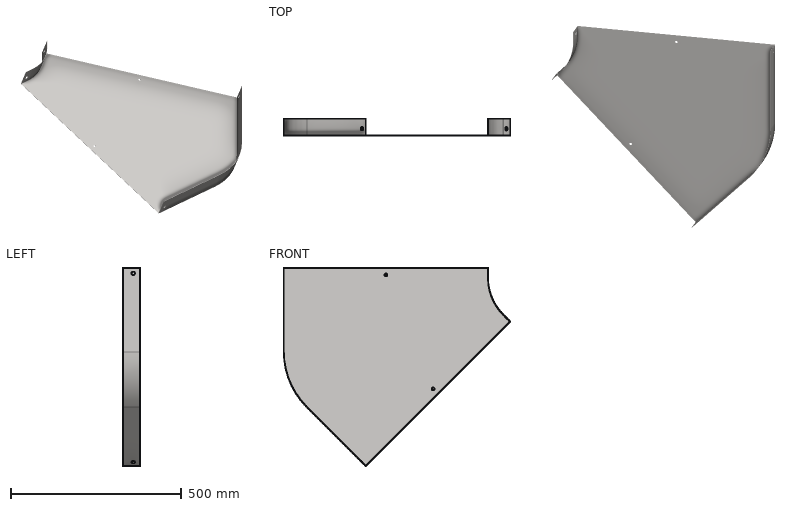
import cadquery as cq
import math

bend_angle = math.radians(45)
width = 600.0
wall_height = 50.0
sheet = 0.8
inner_straight = 30.0
inner_radius = 150.0
outer_radius = 230.0

plate_hole_diameter = 7.0
plate_hole_inset = 20.5
wall_hole_diameter = 9.0
wall_hole_inset = 16.0
wall_hole_height = 20.0
cutter_length = 13.0

half_tangent = math.tan(bend_angle / 2)
inner_tangent = inner_straight + inner_radius * half_tangent
outer_tangent = inner_tangent + width * half_tangent
outer_straight = outer_tangent - outer_radius * half_tangent

start_along = (0, -1)
start_across = (1, 0)
end_along = (math.sin(bend_angle), -math.cos(bend_angle))
end_across = (math.cos(bend_angle), math.sin(bend_angle))


def offset(point, direction, distance):
    return (point[0] + direction[0] * distance, point[1] + direction[1] * distance)


def side_points(x, radius, straight):
    """Start, arc start, arc middle, arc end and end of one side of the elbow."""
    start = (x, 0)
    arc_start = offset(start, start_along, straight)
    center = offset(arc_start, start_across, radius)
    middle = offset(center, (-math.cos(bend_angle / 2), -math.sin(bend_angle / 2)), radius)
    arc_end = offset(center, end_across, -radius)
    end = offset(arc_end, end_along, straight)
    return start, arc_start, middle, arc_end, end


def strip(left, right, depth):
    """Solid between two elbow sides, extruded from Y = 0 towards +Y."""
    outline = cq.Workplane("XZ").moveTo(*left[0]).lineTo(*left[1])
    outline = outline.threePointArc(left[2], left[3]).lineTo(*left[4])
    outline = outline.lineTo(*right[4]).lineTo(*right[3])
    outline = outline.threePointArc(right[2], right[1]).lineTo(*right[0])
    return outline.close().extrude(-depth)


def hole_cutter(point, y, direction, diameter):
    """Cylinder centred on a point of the sheet, along a direction (X, Y, Z)."""
    axis = cq.Vector(*direction)
    base = cq.Vector(point[0], y, point[1]) - axis * (cutter_length / 2)
    return cq.Workplane(obj=cq.Solid.makeCylinder(diameter / 2, cutter_length, base, axis))


outer_face = side_points(0, outer_radius, outer_straight)
outer_wall_back = side_points(sheet, outer_radius - sheet, outer_straight)
inner_face = side_points(width, inner_radius, inner_straight)
inner_wall_back = side_points(width - sheet, inner_radius + sheet, inner_straight)

result = strip(outer_face, inner_face, sheet)
result = result.union(strip(outer_face, outer_wall_back, wall_height))
result = result.union(strip(inner_wall_back, inner_face, wall_height))

start_hole = offset(offset(outer_face[0], start_across, width / 2), start_along, plate_hole_inset)
end_hole = offset(offset(outer_face[-1], end_across, width / 2), end_along, -plate_hole_inset)
for point in (start_hole, end_hole):
    result = result.cut(hole_cutter(point, 0, (0, 1, 0), plate_hole_diameter))

for face in (outer_face, inner_face):
    start_point = offset(face[0], start_along, wall_hole_inset)
    end_point = offset(face[-1], end_along, -wall_hole_inset)
    for point, across in ((start_point, start_across), (end_point, end_across)):
        direction = (across[0], 0, across[1])
        result = result.cut(hole_cutter(point, wall_hole_height, direction, wall_hole_diameter))